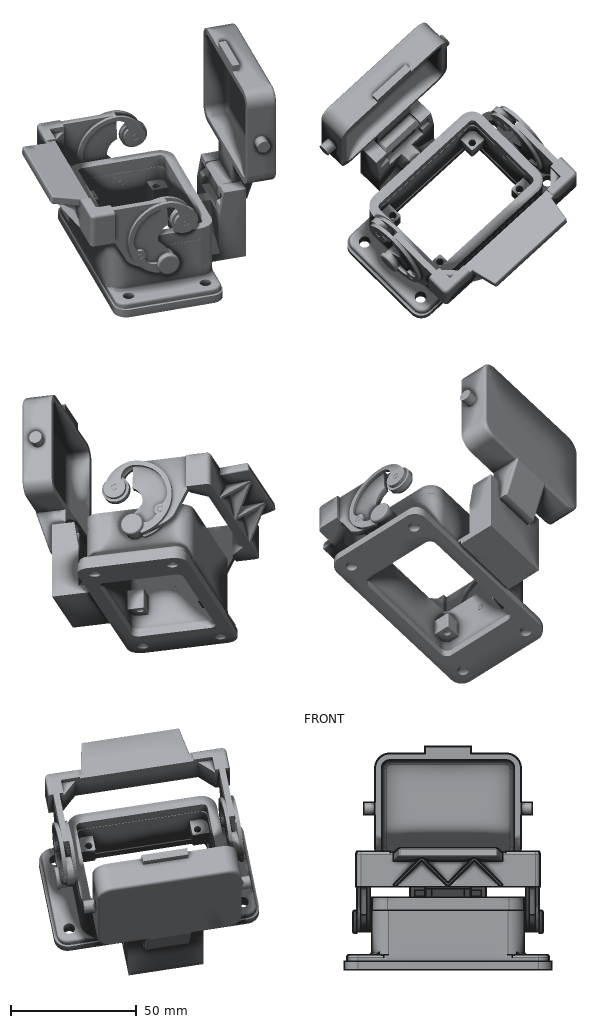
import cadquery as cq
import math

PICK = 0.1


FLANGE_X = 82.5
FLANGE_Y = 45.3
FLANGE_Z = 3.5
FLANGE_CORNER = 5.4
STEP_INSET_X = 1.1
STEP_TOP = 6.0
STEP_ROUND = 1.1
WALL_X = 60.6
WALL_Y = 44.0
RIM_INSET = 0.1
WALL_TOP = 28.8
RIM_BASE = 23.6
RIM_CORNER = 6.1
WALL_CORNER = 6.55
WALL_FOOT_ROUND = 0.9
INFILL_RUNOUT = 1.6
CAVITY_X = 52.75
CAVITY_Y = 35.65
RIM_CAVITY_CORNER = 1.8
CAVITY_CORNER = 3.0
FLOOR_LIP = 0.5
SCREW_HOLE_DIA = 4.6
SCREW_X = 35.0
SCREW_Y = 16.0
BOSS_INNER_X = 19.55
BOSS_INNER_Y = 11.1
BOSS_BOTTOM = 9.4
BOSS_TOP = 17.55
BOSS_ROUND = 0.6
BOSS_HOLE_DIA = 2.9
BOSS_HOLE_X = 21.9
BOSS_HOLE_Y = 13.5

BRACKET_X = 30.2
BRACKET_BACK = 39.1
BRACKET_TOP_FRONT = 30.0
BRACKET_FRONT = 28.3
BRACKET_TOP = 33.65
BRACKET_BOTTOM = 2.1
FOOT_FRONT = 23.7
FOOT_STEP_Z = 4.1
BRACKET_SHELF_Z = 5.5
SLOT_X = 18.4
SLOT_FLOOR = 23.2
WINDOW_HALF_X = 13.3
WINDOW_SILL = 26.3
WINDOW_BOTTOM = 29.1
WINDOW_TOP = 31.6
WINDOW_BACK = 33.2

LID_X = 58.0
LID_BOTTOM = 42.6
LID_TOP = 85.95
LID_FRONT = 35.4
LID_BACK = 47.7
LID_WALL = 2.6
LID_CORNER = 6.0
LID_BACK_ROUND = 1.2
LID_FLOOR_ROUND = 1.8
TAB_X = 18.4
TAB_TOP = 88.7
TAB_THICKNESS = 3.0
PEG_DIA = 5.1
PEG_REACH = 33.5
PEG_Y = 40.8
PEG_Z = 64.0
NECK_X = 17.8
NECK_BOTTOM = 24.9
NECK_BOTTOM_BACK = 41.9
NECK_ROUND = 0.9
KNUCKLE_FRONT = 30.0
KNUCKLE_TOP = 33.9
KNUCKLE_SLOPE = 1.7
KNUCKLE_CHAMFER = 0.8
KNUCKLE_POCKET_X = 12.7
KNUCKLE_POCKET_DEPTH = 0.7
KNUCKLE_SHOULDER_Z = 27.7
KNUCKLE_LIP = 1.8

SIDE_OUTER = 36.2
PLATE_OUTER = 34.65
PLATE_INNER = 32.2
SIDE_INNER = 30.8
PIVOT_Z = 19.0
PIVOT_STUB_RADIUS = 3.55
PIVOT_EYE_RADIUS = 4.0
HEAD_RADIUS = 4.55
HEAD_OUTER = 37.7
HEAD_ROUND = 0.8
HOOK_Z = 30.9
HOOK_RADIUS = 16.2
HOOK_BAND = 1.9
HOOK_HEEL_ANGLE = 77
HOOK_NOSE_ANGLE = 35
HOOK_END_Y = 7.5
HOOK_END_Z = 36.5
HOOK_END_RADIUS = 4.5
ROLLER_RADIUS = 5.55
HOOK_RIVET_Y = -11.55
HOOK_RIVET_Z = 24.5
RIVET_PAD_RADIUS = 2.5
RIVET_RADIUS = 1.4
RIVET_CORE_RADIUS = 0.9
RIVET_GROOVE = 0.2
BAR_X = 73.1
BAR_BACK = -22.2
BAR_FRONT = -32.1
BAR_WALL = 3.9
BAR_BOTTOM = 32.9
BAR_TOP = HOOK_Z + HOOK_RADIUS
BAR_SIDE = 6.0
BAR_CORNER = 1.9
BAR_ROUND = 1.3
GUSSET_SIZE = 5.8
GUSSET_TOP = 44.6
GRIP_ROOT_X = 45.8
GRIP_TIP_X = 39.1
GRIP_NECK_X = 43.7
GRIP_TIP_Y = -43.4
GRIP_ROOT_TOP = 46.7
GRIP_THICKNESS = 3.55
GRIP_TILT = 9.5
GRIP_ROUND = 0.55
RIB_COUNT = 4
RIB_PITCH = 10.5
RIB_BOTTOM = 33.7
RIB_TOP = 44.2
RIB_THICKNESS = 1.2
RIB_TIP_Y = -41.7


def box(x0, x1, y0, y1, z0, z1):
    """Axis-aligned block between the given limits."""
    return cq.Workplane("XY").box(x1 - x0, y1 - y0, z1 - z0, centered=False).translate((x0, y0, z0))


def upright_block(size_x, size_y, z0, z1, corner):
    """Centred block with rounded vertical corners."""
    block = box(-size_x / 2, size_x / 2, -size_y / 2, size_y / 2, z0, z1)
    return block.edges("|Z").fillet(corner)


def side_plane(x):
    """YZ workplane at the given X; its normal is +X."""
    return cq.Workplane("YZ", origin=(x, 0, 0))


def disc(x0, x1, y, z, radius):
    """Cylinder along X."""
    return side_plane(x0).center(y, z).circle(radius).extrude(x1 - x0)


def both_sides(shape):
    """The shape together with its mirror image across the YZ plane."""
    return shape.union(shape.mirror("YZ"))


def make_flange():
    lower = upright_block(FLANGE_X, FLANGE_Y, 0, FLANGE_Z, FLANGE_CORNER)
    step_x = FLANGE_X - 2 * STEP_INSET_X
    step_corner = FLANGE_CORNER - STEP_INSET_X
    step = upright_block(step_x, WALL_Y, FLANGE_Z, STEP_TOP, step_corner)
    step = step.faces(">Z").edges().fillet(STEP_ROUND)
    return lower.union(step)


def make_walls():
    foot = upright_block(WALL_X, WALL_Y, FLANGE_Z, RIM_BASE, WALL_CORNER)
    rim_x = WALL_X - 2 * RIM_INSET
    rim_y = WALL_Y - 2 * RIM_INSET
    rim = upright_block(rim_x, rim_y, RIM_BASE, WALL_TOP, RIM_CORNER)
    return foot.union(rim)


def make_wall_foot():
    """Concave round where the short walls meet the top of the step."""
    tread_x = FLANGE_X - 2 * (STEP_INSET_X + STEP_ROUND)
    tread_y = WALL_Y - 2 * STEP_ROUND
    tread_corner = FLANGE_CORNER - STEP_INSET_X - STEP_ROUND
    ground = upright_block(FLANGE_X, FLANGE_X, FLANGE_Z, STEP_TOP, FLANGE_CORNER)
    post = upright_block(WALL_X, WALL_Y, STEP_TOP, RIM_BASE, WALL_CORNER)
    corner_half = FLANGE_X / 2 - 2 * FLANGE_CORNER
    junction = cq.selectors.BoxSelector(
        (-corner_half, -corner_half, STEP_TOP - PICK), (corner_half, corner_half, STEP_TOP + PICK)
    )
    foot = ground.union(post).edges(junction).fillet(WALL_FOOT_ROUND)
    return foot.intersect(upright_block(tread_x, tread_y, FLANGE_Z, RIM_BASE, tread_corner))


def make_front_infill():
    """Fills the rounded edge of the step where the long walls run straight down onto the flange."""
    length = WALL_X - WALL_CORNER - RIM_CORNER + 2 * INFILL_RUNOUT
    return box(-length / 2, length / 2, -WALL_Y / 2, WALL_Y / 2, FLANGE_Z, STEP_TOP)


def make_cavity():
    lower = upright_block(CAVITY_X, CAVITY_Y, FLANGE_Z, RIM_BASE, CAVITY_CORNER)
    rim_x = CAVITY_X + 2 * RIM_INSET
    rim_y = CAVITY_Y + 2 * RIM_INSET
    rim = upright_block(rim_x, rim_y, RIM_BASE, WALL_TOP, RIM_CAVITY_CORNER)
    opening_x = CAVITY_X - 2 * FLOOR_LIP
    opening_y = CAVITY_Y - 2 * FLOOR_LIP
    opening = upright_block(opening_x, opening_y, 0, FLANGE_Z, CAVITY_CORNER)
    return lower.union(rim).union(opening)


def make_bosses():
    """Four drilled corner blocks inside the cavity."""
    size_x = (CAVITY_X + WALL_X) / 4 - BOSS_INNER_X
    size_y = (CAVITY_Y + WALL_Y) / 4 - BOSS_INNER_Y
    boss = box(0, size_x, 0, size_y, BOSS_BOTTOM, BOSS_TOP).translate((BOSS_INNER_X, BOSS_INNER_Y, 0))
    boss = boss.edges("|Z and <X and <Y").fillet(BOSS_ROUND)
    boss = boss.cut(
        cq.Workplane("XY").center(BOSS_HOLE_X, BOSS_HOLE_Y).circle(BOSS_HOLE_DIA / 2).extrude(WALL_TOP)
    )
    pair = both_sides(boss)
    return pair.union(pair.mirror("XZ"))


def make_housing_shell():
    holes = (
        cq.Workplane("XY")
        .rect(2 * SCREW_X, 2 * SCREW_Y, forConstruction=True)
        .vertices()
        .circle(SCREW_HOLE_DIA / 2)
        .extrude(STEP_TOP)
    )
    outside = make_flange().union(make_walls()).union(make_wall_foot()).union(make_front_infill())
    return outside.cut(make_cavity()).cut(holes).union(make_bosses())


def make_bracket_web():
    """Bell-shaped web that joins the bracket to the back wall of the housing."""
    half = BRACKET_X / 2
    crown, shoulder, skirt = 2.7, 5.4, 11.0
    shoulder_z, bend_z, skirt_z = 16.5, 10.9, 8.6
    bend = 7.5
    profile = (
        cq.Workplane("XZ", origin=(0, BRACKET_FRONT, 0))
        .moveTo(-half, FOOT_STEP_Z)
        .lineTo(-half, BRACKET_SHELF_Z)
        .lineTo(-skirt, skirt_z)
        .threePointArc((-bend, bend_z), (-shoulder, shoulder_z))
        .lineTo(-crown, SLOT_FLOOR)
        .lineTo(crown, SLOT_FLOOR)
        .lineTo(shoulder, shoulder_z)
        .threePointArc((bend, bend_z), (skirt, skirt_z))
        .lineTo(half, BRACKET_SHELF_Z)
        .lineTo(half, FOOT_STEP_Z)
        .close()
    )
    return profile.extrude(BRACKET_FRONT - WALL_Y / 2)


def make_bracket():
    side = [
        (BRACKET_BACK, BRACKET_BOTTOM),
        (FOOT_FRONT, BRACKET_BOTTOM),
        (FOOT_FRONT, BRACKET_SHELF_Z),
        (BRACKET_FRONT, BRACKET_SHELF_Z),
        (BRACKET_FRONT, SLOT_FLOOR),
        (BRACKET_TOP_FRONT, BRACKET_TOP),
        (BRACKET_BACK, BRACKET_TOP),
    ]
    body = side_plane(-BRACKET_X / 2).polyline(side).close().extrude(BRACKET_X)
    slot = box(-SLOT_X / 2, SLOT_X / 2, FOOT_FRONT, BRACKET_BACK, SLOT_FLOOR, BRACKET_TOP)
    window_side = [
        (BRACKET_FRONT, WINDOW_SILL),
        (WINDOW_BACK, WINDOW_BOTTOM),
        (WINDOW_BACK, WINDOW_TOP),
        (BRACKET_FRONT, WINDOW_TOP),
    ]
    window = side_plane(-WINDOW_HALF_X).polyline(window_side).close().extrude(2 * WINDOW_HALF_X)
    return body.cut(slot).cut(window).union(make_bracket_web())


def make_lever_plate():
    """Middle layer of one lever side, from the pivot up to the cross bar."""
    throat_top = (0.55, 35.9)
    throat_bend = (-2.0, 34.2)
    throat_root = (-3.55, 28.5)
    neck_back = (1.4, PIVOT_Z + PIVOT_EYE_RADIUS)
    heel_start = (-8.8, 18.0)
    heel_bend = (-14.1, 20.0)
    heel_end = (-16.4, 21.8)
    plate = (
        side_plane(PLATE_INNER)
        .moveTo(BAR_BACK, BAR_TOP)
        .lineTo(0, BAR_TOP)
        .lineTo(*throat_top)
        .threePointArc(throat_bend, throat_root)
        .lineTo(*neck_back)
        .lineTo(0, PIVOT_Z - PIVOT_EYE_RADIUS)
        .lineTo(*heel_start)
        .threePointArc(heel_bend, heel_end)
        .lineTo(BAR_BACK, BAR_BOTTOM)
        .close()
        .extrude(PLATE_OUTER - PLATE_INNER)
    )
    eye = disc(PLATE_INNER, PLATE_OUTER, 0, PIVOT_Z, PIVOT_EYE_RADIUS)
    roller = disc(PLATE_INNER, PLATE_OUTER, HOOK_END_Y, HOOK_END_Z, ROLLER_RADIUS)
    return plate.union(eye).union(roller)


def make_hook_layer(x0, x1):
    """One C-shaped hook plate: a curved band with round ends and a pad for its rivet."""
    inner = HOOK_RADIUS - HOOK_BAND
    diagonal = inner * math.sqrt(0.5)
    heel = math.radians(HOOK_HEEL_ANGLE)
    nose = math.radians(HOOK_NOSE_ANGLE)
    heel_point = (-HOOK_RADIUS * math.cos(heel), HOOK_Z - HOOK_RADIUS * math.sin(heel))
    nose_point = (
        HOOK_END_Y + HOOK_END_RADIUS * math.cos(nose),
        HOOK_END_Z + HOOK_END_RADIUS * math.sin(nose),
    )
    nose_bend = (6.9, 44.6)
    throat_end = (4.7, 40.3)
    throat_bend = (3.3, 43.8)
    pad_bend = (-13.6, 28.7)
    pad_end = (-12.2, 26.8)
    eye_start = (-9.1, 21.8)
    eye_bend = (-7.2, 20.0)
    eye_end = (-4.7, 19.6)
    band = (
        side_plane(x0)
        .moveTo(*heel_point)
        .threePointArc((-HOOK_RADIUS, HOOK_Z), (0, BAR_TOP))
        .threePointArc(nose_bend, nose_point)
        .lineTo(HOOK_END_Y, HOOK_END_Z)
        .lineTo(*throat_end)
        .threePointArc(throat_bend, (0, HOOK_Z + inner))
        .threePointArc((-diagonal, HOOK_Z + diagonal), (-inner, HOOK_Z))
        .threePointArc(pad_bend, pad_end)
        .lineTo(HOOK_RIVET_Y, HOOK_RIVET_Z)
        .lineTo(*eye_start)
        .threePointArc(eye_bend, eye_end)
        .lineTo(0, PIVOT_Z)
        .close()
        .extrude(x1 - x0)
    )
    pad = disc(x0, x1, HOOK_RIVET_Y, HOOK_RIVET_Z, RIVET_PAD_RADIUS)
    hook_end = disc(x0, x1, HOOK_END_Y, HOOK_END_Z, HOOK_END_RADIUS)
    eye = disc(x0, x1, 0, PIVOT_Z, PIVOT_EYE_RADIUS)
    return band.union(pad).union(hook_end).union(eye)


def make_rivet_groove(x0, y, z):
    """Shallow ring that outlines the end of a rivet; it spans X from x0 outward."""
    ring = side_plane(x0).center(y, z).circle(RIVET_RADIUS).circle(RIVET_CORE_RADIUS)
    return ring.extrude(RIVET_GROOVE)


def make_lever_side():
    """The +X side of the lever with its pivot."""
    side = make_lever_plate()
    side = side.union(make_hook_layer(PLATE_OUTER, SIDE_OUTER))
    side = side.union(make_hook_layer(SIDE_INNER, PLATE_INNER))
    for y, z in ((HOOK_END_Y, HOOK_END_Z), (HOOK_RIVET_Y, HOOK_RIVET_Z)):
        side = side.cut(make_rivet_groove(SIDE_OUTER - RIVET_GROOVE, y, z))
        side = side.cut(make_rivet_groove(SIDE_INNER, y, z))
    head = disc(SIDE_OUTER, HEAD_OUTER, 0, PIVOT_Z, HEAD_RADIUS).faces(">X").edges().fillet(HEAD_ROUND)
    stub = disc(WALL_X / 2, SIDE_INNER, 0, PIVOT_Z, PIVOT_STUB_RADIUS)
    return side.union(head).union(stub)


def make_cross_bar():
    """U-shaped bar across the front with gussets in its inner corners."""
    half = BAR_X / 2
    inner_half = half - BAR_SIDE
    inner_front = BAR_FRONT + BAR_WALL
    bar = box(-half, half, BAR_FRONT, BAR_BACK, BAR_BOTTOM, BAR_TOP)
    bar = bar.edges("<Y and |Z").fillet(BAR_CORNER)
    bar = bar.faces(">Z").edges("not >Y").fillet(BAR_ROUND)
    bar = bar.cut(box(-inner_half, inner_half, inner_front, BAR_BACK, BAR_BOTTOM, BAR_TOP))
    gusset = (
        cq.Workplane("XY", origin=(0, 0, BAR_BOTTOM))
        .moveTo(inner_half, inner_front)
        .lineTo(inner_half, inner_front + GUSSET_SIZE)
        .lineTo(inner_half - GUSSET_SIZE, inner_front)
        .close()
        .extrude(GUSSET_TOP - BAR_BOTTOM)
    )
    return bar.union(both_sides(gusset))


def grip_top(y):
    """Height of the tilted grip's upper face at the given Y."""
    return GRIP_ROOT_TOP + (BAR_FRONT - y) * math.tan(math.radians(GRIP_TILT))


def make_grip():
    """Tilted thumb grip, tapering towards its tip."""
    root_y = BAR_FRONT + BAR_WALL
    lean = GRIP_THICKNESS * math.tan(math.radians(GRIP_TILT))
    slab = [
        (root_y, grip_top(root_y)),
        (GRIP_TIP_Y + lean, grip_top(GRIP_TIP_Y + lean)),
        (GRIP_TIP_Y, grip_top(GRIP_TIP_Y) - GRIP_THICKNESS),
        (root_y, grip_top(root_y) - GRIP_THICKNESS),
    ]
    plan = [
        (GRIP_NECK_X / 2, root_y),
        (GRIP_NECK_X / 2, BAR_FRONT),
        (GRIP_TIP_X / 2, GRIP_TIP_Y),
        (-GRIP_TIP_X / 2, GRIP_TIP_Y),
        (-GRIP_NECK_X / 2, BAR_FRONT),
        (-GRIP_NECK_X / 2, root_y),
    ]
    grip = side_plane(-GRIP_ROOT_X / 2).polyline(slab).close().extrude(GRIP_ROOT_X)
    grip = grip.intersect(cq.Workplane("XY").polyline(plan).close().extrude(LID_TOP))
    free_edges = cq.selectors.BoxSelector(
        (-GRIP_ROOT_X, GRIP_TIP_Y - PICK, BAR_BOTTOM), (GRIP_ROOT_X, BAR_FRONT - PICK, LID_TOP)
    )
    return grip.edges(free_edges).fillet(GRIP_ROUND)


def make_grip_clearance():
    """Notch in the top of the cross bar above the grip."""
    root_y = BAR_FRONT + BAR_WALL
    notch = [
        (root_y, grip_top(root_y)),
        (BAR_FRONT, grip_top(BAR_FRONT)),
        (BAR_FRONT, LID_TOP),
        (root_y, LID_TOP),
    ]
    return side_plane(-GRIP_ROOT_X / 2).polyline(notch).close().extrude(GRIP_ROOT_X)


def make_grip_ribs():
    """Zigzag of four thin ribs that carry the underside of the grip."""
    corners = [
        ((i - RIB_COUNT / 2) * RIB_PITCH, RIB_TOP if i % 2 else RIB_BOTTOM)
        for i in range(RIB_COUNT + 1)
    ]
    ribs = cq.Workplane("XY")
    for (x0, z0), (x1, z1) in zip(corners, corners[1:]):
        length = math.hypot(x1 - x0, z1 - z0)
        rib = (
            cq.Workplane("XZ", origin=((x0 + x1) / 2, BAR_FRONT, (z0 + z1) / 2))
            .transformed(rotate=(0, 0, math.degrees(math.atan2(z1 - z0, x1 - x0))))
            .rect(length + RIB_THICKNESS, RIB_THICKNESS)
            .extrude(BAR_FRONT - RIB_TIP_Y)
        )
        ribs = ribs.union(rib)
    wedge = [(BAR_FRONT, RIB_BOTTOM - RIB_THICKNESS / 2), (RIB_TIP_Y, RIB_TOP), (BAR_FRONT, RIB_TOP)]
    return ribs.intersect(side_plane(-BAR_X / 2).polyline(wedge).close().extrude(BAR_X))


def make_lever():
    bar = make_cross_bar().cut(make_grip_clearance())
    bar = bar.union(make_grip()).union(make_grip_ribs())
    return bar.union(both_sides(make_lever_side()))


def make_housing():
    """Housing with its hinge bracket and the latch lever riveted to its sides."""
    housing = make_housing_shell().union(make_bracket()).union(make_lever())
    rivet_tail = make_rivet_groove(CAVITY_X / 2, 0, PIVOT_Z)
    return housing.cut(both_sides(rivet_tail))


def lid_block(margin, y0, y1, corner):
    """Block with the lid's outline, drawn in by the margin and rounded along Y."""
    half = LID_X / 2 - margin
    block = box(-half, half, y0, y1, LID_BOTTOM + margin, LID_TOP - margin)
    return block.edges("|Y").fillet(corner)


def make_cover():
    """The lid's outer shell as a full block, and the cavity to be cut from it."""
    shell = lid_block(0, LID_FRONT, LID_BACK, LID_CORNER).faces(">Y").edges().fillet(LID_BACK_ROUND)
    cavity = lid_block(LID_WALL, LID_FRONT, LID_BACK - LID_WALL, LID_CORNER - LID_WALL)
    cavity = cavity.faces(">Y").edges().fillet(LID_FLOOR_ROUND)
    return shell, cavity


def make_lid_neck():
    """Tapered neck below the lid with the hinge knuckle on its front."""
    side = [
        (LID_FRONT, LID_BOTTOM + LID_WALL),
        (LID_BACK, LID_BOTTOM + LID_WALL),
        (LID_BACK, LID_BOTTOM),
        (NECK_BOTTOM_BACK, NECK_BOTTOM),
        (LID_FRONT, NECK_BOTTOM),
    ]
    neck = side_plane(-NECK_X / 2).polyline(side).close().extrude(NECK_X)
    back_edges = cq.selectors.BoxSelector(
        (-NECK_X, NECK_BOTTOM_BACK - PICK, NECK_BOTTOM - PICK), (NECK_X, LID_BACK, LID_BOTTOM - PICK)
    )
    neck = neck.edges(back_edges).fillet(NECK_ROUND)
    half = NECK_X / 2
    knuckle = box(-half, half, KNUCKLE_FRONT, LID_FRONT, NECK_BOTTOM, KNUCKLE_TOP)
    knuckle = knuckle.edges(">Z and <Y").chamfer(KNUCKLE_SLOPE)
    knuckle = knuckle.faces(">Z").edges("<X or >X").chamfer(KNUCKLE_CHAMFER)
    pocket_half = KNUCKLE_POCKET_X / 2
    pocket_back = KNUCKLE_FRONT + KNUCKLE_POCKET_DEPTH
    pocket_top = KNUCKLE_TOP - KNUCKLE_LIP
    knuckle = knuckle.cut(box(-half, half, KNUCKLE_FRONT, pocket_back, NECK_BOTTOM, KNUCKLE_SHOULDER_Z))
    knuckle = knuckle.cut(box(-pocket_half, pocket_half, KNUCKLE_FRONT, pocket_back, NECK_BOTTOM, pocket_top))
    return neck.union(knuckle)


def make_lid():
    shell, cavity = make_cover()
    tab = box(-TAB_X / 2, TAB_X / 2, LID_FRONT, LID_FRONT + TAB_THICKNESS, LID_TOP - LID_WALL, TAB_TOP)
    pegs = disc(-PEG_REACH, PEG_REACH, PEG_Y, PEG_Z, PEG_DIA / 2)
    return shell.union(make_lid_neck()).union(tab).union(pegs).cut(cavity)


housing = make_housing()
lid = make_lid()
result = cq.Compound.makeCompound([housing.val(), lid.val()])